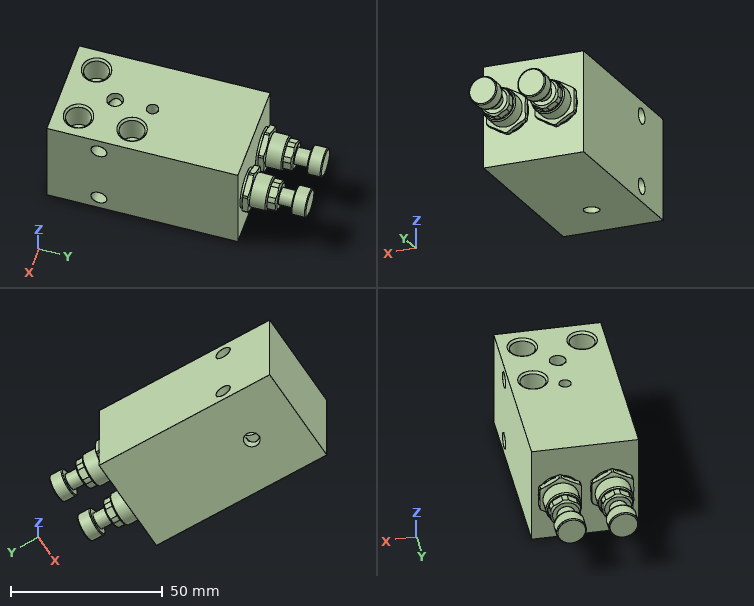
import cadquery as cq
import math

BLOCK_SIDE = 36.0
BASE_LENGTH = 44.0
HEAD_LENGTH = 22.0
TOTAL_LENGTH = 88.0
HEAD_FACE_Y = BASE_LENGTH + HEAD_LENGTH
ADJUSTER_LENGTH = TOTAL_LENGTH - HEAD_FACE_Y

PORT_DIAMETER = 8.5
PORT_MOUTH_DIAMETER = 10.0
PORT_DEPTH = 10.0
PORT_X = 10.0
FRONT_PORT_Y = 8.5
REAR_PORT_Y = 27.0
PORT_CENTERS = [(-PORT_X, FRONT_PORT_Y), (PORT_X, FRONT_PORT_Y), (PORT_X, REAR_PORT_Y)]

MOUNTING_HOLE_DIAMETER = 5.5
MOUNTING_HOLE_Y = 18.0
CROSS_HOLE_Z = 12.5

PIN_HOLE_DIAMETER = 4.0
PIN_HOLE_Y = 31.0
PIN_HOLE_DEPTH = 6.0
DRILL_POINT_ANGLE = 118

ADJUSTER_SPACING = 17.5
WASHER_DIAMETER = 14.0
WASHER_TOP = 0.8
NUT_FLATS = WASHER_DIAMETER
NUT_CORNER_DIAMETER = 15.75
NUT_TOP = 3.0
NUT_CHAMFER_WIDTH = 1.2
NUT_CHAMFER_HEIGHT = 0.35
SLEEVE_DIAMETER = 12.0
SLEEVE_TOP = 8.8
SLEEVE_CHAMFER = 0.4
COLLAR_FLATS = 10.0
COLLAR_CORNER_DIAMETER = 10.65
COLLAR_TOP = 12.1
COLLAR_CHAMFER_WIDTH = 0.8
COLLAR_CHAMFER_HEIGHT = 0.6
STEM_DIAMETER = 6.0
KNOB_DIAMETER = 10.0
KNOB_BOTTOM = 17.0
KNOB_CHAMFER = 0.35


def disc(diameter, bottom, top):
    """Cylinder on the Z axis between two heights."""
    return cq.Workplane("XY").workplane(offset=bottom).circle(diameter / 2).extrude(top - bottom)


def rounded_hexagon(flats, corner_diameter, bottom, top, chamfer_height, chamfer_width):
    """Hexagon with flats facing +-X, its corners turned round and chamfered at the top."""
    hexagon = (
        cq.Workplane("XY")
        .workplane(offset=bottom)
        .polygon(6, flats, circumscribed=True)
        .extrude(top - bottom)
    )
    envelope = disc(corner_diameter, bottom, top)
    envelope = envelope.faces(">Z").chamfer(chamfer_height, chamfer_width)
    return hexagon.intersect(envelope)


def make_adjuster():
    """Adjusting screw standing on Z = 0."""
    washer = disc(WASHER_DIAMETER, 0, WASHER_TOP)
    nut = rounded_hexagon(
        NUT_FLATS, NUT_CORNER_DIAMETER, WASHER_TOP, NUT_TOP, NUT_CHAMFER_HEIGHT, NUT_CHAMFER_WIDTH
    )
    sleeve = disc(SLEEVE_DIAMETER, 0, SLEEVE_TOP).faces(">Z").chamfer(SLEEVE_CHAMFER)
    collar = rounded_hexagon(
        COLLAR_FLATS, COLLAR_CORNER_DIAMETER, SLEEVE_TOP, COLLAR_TOP,
        COLLAR_CHAMFER_HEIGHT, COLLAR_CHAMFER_WIDTH,
    )
    stem = disc(STEM_DIAMETER, 0, KNOB_BOTTOM)
    knob = disc(KNOB_DIAMETER, KNOB_BOTTOM, ADJUSTER_LENGTH).edges().chamfer(KNOB_CHAMFER)
    return washer.union(nut).union(sleeve).union(collar).union(stem).union(knob)


def make_block():
    """Base and head block in one, front face at Y = 0, with the countersunk ports in its top."""
    block = cq.Workplane("XY").box(BLOCK_SIDE, HEAD_FACE_Y, BLOCK_SIDE, centered=(True, False, True))

    top_face = cq.Workplane("XY", origin=(0, 0, BLOCK_SIDE / 2))
    block = block.cut(top_face.pushPoints(PORT_CENTERS).circle(PORT_DIAMETER / 2).extrude(-PORT_DEPTH))
    mouth_depth = (PORT_MOUTH_DIAMETER - PORT_DIAMETER) / 2
    for x, y in PORT_CENTERS:
        mouth = top_face.center(x, y).circle(PORT_MOUTH_DIAMETER / 2).extrude(-mouth_depth, taper=45)
        block = block.cut(mouth)
    return block


def drill_holes(block):
    """Vertical and crosswise mounting holes and the drill-pointed blind hole."""
    vertical = cq.Workplane("XY").center(0, MOUNTING_HOLE_Y).circle(MOUNTING_HOLE_DIAMETER / 2)
    block = block.cut(vertical.extrude(BLOCK_SIDE, both=True))

    crosswise = (
        cq.Workplane("YZ")
        .pushPoints([(MOUNTING_HOLE_Y, CROSS_HOLE_Z), (MOUNTING_HOLE_Y, -CROSS_HOLE_Z)])
        .circle(MOUNTING_HOLE_DIAMETER / 2)
    )
    block = block.cut(crosswise.extrude(BLOCK_SIDE, both=True))

    radius = PIN_HOLE_DIAMETER / 2
    wall_bottom = BLOCK_SIDE / 2 - PIN_HOLE_DEPTH
    tip = wall_bottom - radius / math.tan(math.radians(DRILL_POINT_ANGLE / 2))
    pin_hole = (
        cq.Workplane("XZ", origin=(0, PIN_HOLE_Y, 0))
        .polyline([(0, tip), (radius, wall_bottom), (radius, BLOCK_SIDE / 2), (0, BLOCK_SIDE / 2)])
        .close()
        .revolve(360, (0, 0), (0, 1))
    )
    return block.cut(pin_hole)


block = drill_holes(make_block())
adjuster = make_adjuster().rotate((0, 0, 0), (1, 0, 0), -90)
result = block
for side in (-1, 1):
    result = result.union(adjuster.translate((side * ADJUSTER_SPACING / 2, HEAD_FACE_Y, 0)))